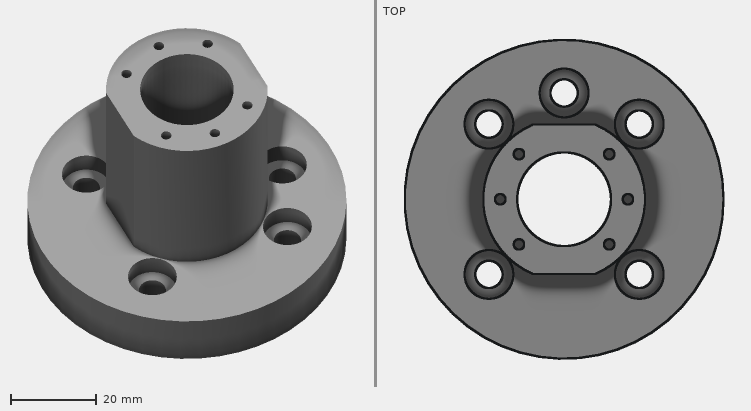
import cadquery as cq
import math

flange_diameter = 75.0
flange_height = 13.5

total_height = 53.5
hub_diameter = 38.0
hub_flat_width = 35.0
bore_diameter = 22.0

mount_circle_radius = 25.0
mount_hole_diameter = 6.4
counterbore_diameter = 11.5
counterbore_depth = 5.0
mount_angles = (45, 90, 135, 225, 315)

pin_circle_radius = 15.0
pin_hole_diameter = 2.5
pin_hole_depth = 10.0
pin_angles = (0, 45, 135, 180, 225, 315)


def points_on_circle(radius, angles):
    return [
        (radius * math.cos(math.radians(a)), radius * math.sin(math.radians(a)))
        for a in angles
    ]


def make_hub():
    cylinder = cq.Workplane("XY").circle(hub_diameter / 2).extrude(total_height)
    flats = cq.Workplane("XY").rect(hub_diameter, hub_flat_width).extrude(total_height)
    return cylinder.intersect(flats)


flange = cq.Workplane("XY").circle(flange_diameter / 2).extrude(flange_height)
body = flange.union(make_hub())

bore = cq.Workplane("XY").circle(bore_diameter / 2).extrude(total_height)

mount_points = points_on_circle(mount_circle_radius, mount_angles)
mount_holes = (
    cq.Workplane("XY")
    .pushPoints(mount_points)
    .circle(mount_hole_diameter / 2)
    .extrude(flange_height)
)
counterbores = (
    cq.Workplane("XY", origin=(0, 0, flange_height))
    .pushPoints(mount_points)
    .circle(counterbore_diameter / 2)
    .extrude(-counterbore_depth)
)
pin_holes = (
    cq.Workplane("XY", origin=(0, 0, total_height))
    .pushPoints(points_on_circle(pin_circle_radius, pin_angles))
    .circle(pin_hole_diameter / 2)
    .extrude(-pin_hole_depth)
)

result = body.cut(bore).cut(mount_holes).cut(counterbores).cut(pin_holes)